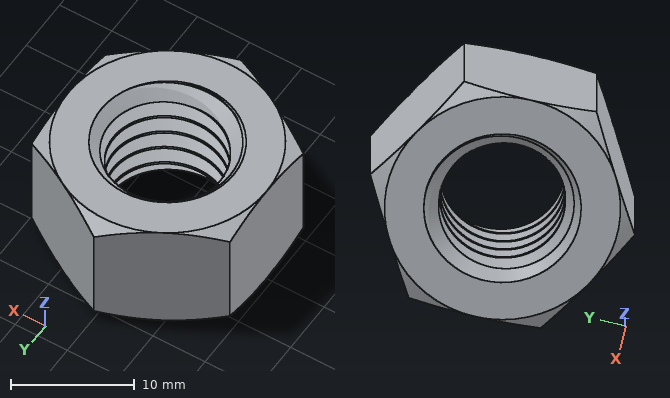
import cadquery as cq
import math

across_flats = 19.05
height = 11.1125
major_diameter = 12.7
pitch = 25.4 / 13
corner_chamfer_angle = 30.0
flank_angle = 30.0
start_angle = 90.0

across_corners = across_flats / math.cos(math.radians(30))
flat_radius = across_flats / 2
major_radius = major_diameter / 2
sharp_v_height = pitch * math.cos(math.radians(flank_angle))
thread_depth = 0.75 * sharp_v_height
minor_radius = major_radius - thread_depth
root_width = pitch / 8

inner_overlap = 0.05
sink_inner_overlap = 0.3
sink_outer_overlap = 1.0
groove_lead = pitch


def revolve_about_z(points):
    """Solid of revolution about Z from a closed (radius, z) outline."""
    outline = cq.Workplane("YZ").polyline(points).close()
    return outline.revolve(360, (0, 0, 0), (0, 1, 0))


def hex_blank():
    """Hexagonal prism with flats facing +X and -X."""
    prism = cq.Workplane("XY").polygon(6, across_corners).extrude(height)
    return prism.rotate((0, 0, 0), (0, 0, 1), 30)


def chamfer_envelope():
    """Revolved double cone that trims the six corners at both ends."""
    rim_radius = across_corners
    rim_drop = (rim_radius - flat_radius) * math.tan(math.radians(corner_chamfer_angle))
    return revolve_about_z([
        (0, 0),
        (flat_radius, 0),
        (rim_radius, rim_drop),
        (rim_radius, height - rim_drop),
        (flat_radius, height),
        (0, height),
    ])


def bore():
    """Straight through hole at the thread's minor diameter."""
    return revolve_about_z([(0, 0), (minor_radius, 0), (minor_radius, height), (0, height)])


def bottom_countersink():
    """45 degree cone, as wide as the major diameter at the bottom face."""
    tip_height = thread_depth + sink_inner_overlap
    return revolve_about_z([
        (0, -sink_outer_overlap),
        (major_radius + sink_outer_overlap, -sink_outer_overlap),
        (minor_radius - sink_inner_overlap, tip_height),
        (0, tip_height),
    ])


def top_countersink():
    """The bottom countersink mirrored to the top face."""
    return bottom_countersink().mirror("XY").translate((0, 0, height))


def thread_groove():
    """Right-hand helical groove with 60 degree included angle and a flat root.

    The four sides are ruled between the helices traced by the profile corners.
    """
    inner_radius = minor_radius - inner_overlap
    flank_rise = (major_radius - inner_radius) * math.tan(math.radians(flank_angle))
    profile = [
        (major_radius, 0),
        (major_radius, root_width),
        (inner_radius, root_width + flank_rise),
        (inner_radius, -flank_rise),
    ]
    cutter_length = height + 2 * groove_lead
    edges = [
        cq.Wire.makeHelix(pitch, cutter_length, radius).translate(cq.Vector(0, 0, z))
        for radius, z in profile
    ]
    next_edges = edges[1:] + edges[:1]
    sides = [cq.Face.makeRuledSurface(edge, following) for edge, following in zip(edges, next_edges)]
    start_corners = [edge.startPoint() for edge in edges]
    end_corners = [edge.endPoint() for edge in edges]
    caps = [
        cq.Face.makeFromWires(cq.Wire.makePolygon(corners, close=True))
        for corners in (start_corners, end_corners)
    ]
    shell = cq.Shell.makeShell(sides + caps)
    groove = cq.Workplane(obj=cq.Solid.makeSolid(shell).fix())
    return groove.rotate((0, 0, 0), (0, 0, 1), start_angle).translate((0, 0, -groove_lead))


nut = hex_blank().intersect(chamfer_envelope())
nut = nut.cut(bore()).cut(thread_groove())
nut = nut.cut(bottom_countersink()).cut(top_countersink())
result = cq.Workplane(obj=nut.solids().val())